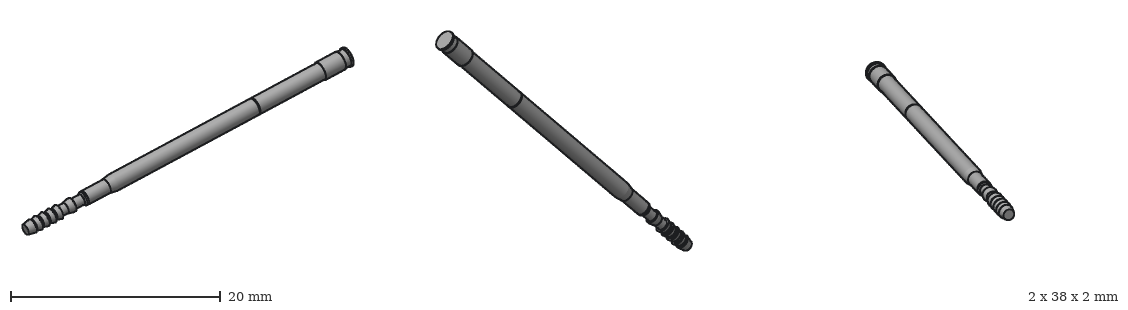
import cadquery as cq

length = 38.0
flange_front = 37.77
collar_back = 37.13
collar_front = 34.77
joint_back = 27.1
joint_front = 26.98
nose_back = 10.35
nose_front = 9.55
shank_front = 7.0
shank_land_front = 6.8
shank_chamfer_front = 6.6

flange_diameter = 2.0
collar_diameter = 1.95
tube_diameter = 1.8
joint_diameter = 1.75
nose_diameter = 1.52
shank_diameter = 1.5
shank_land_diameter = 1.45
shank_chamfer_diameter = 1.2
core_diameter = 1.1

retaining_barb_diameter = 1.45
retaining_barb_foot_diameter = 1.18
retaining_barb_back = 5.5
retaining_barb_land = 0.23
retaining_barb_length = 0.8

barb_diameter = 1.52
barb_foot_diameter = 1.2
barb_pitch = 0.8
barb_count = 4
first_barb_back = 3.9
barb_length = 0.55

tip_barb_diameter = 1.45
tip_barb_back = 0.85
tip_diameter = 1.1


def turned(profile):
    """Revolve a (diameter, station) profile around the Y axis, closing it along the axis."""
    outline = [(station, diameter / 2) for diameter, station in profile]
    closed_outline = [(outline[0][0], 0)] + outline + [(outline[-1][0], 0)]
    return cq.Workplane("YZ").polyline(closed_outline).close().revolve(360, (0, 0, 0), (1, 0, 0))


body = turned(
    [
        (flange_diameter, length),
        (flange_diameter, flange_front),
        (tube_diameter, flange_front),
        (tube_diameter, collar_back),
        (collar_diameter, collar_back),
        (collar_diameter, collar_front),
        (tube_diameter, collar_front),
        (tube_diameter, joint_back),
        (joint_diameter, joint_back),
        (joint_diameter, joint_front),
        (tube_diameter, joint_front),
        (tube_diameter, nose_back),
        (nose_diameter, nose_front),
        (shank_diameter, nose_front),
        (shank_diameter, shank_front),
        (shank_land_diameter, shank_front),
        (shank_land_diameter, shank_land_front),
        (shank_chamfer_diameter, shank_chamfer_front),
        (core_diameter, shank_chamfer_front),
        (core_diameter, 0),
    ]
)

retaining_barb = turned(
    [
        (retaining_barb_diameter, retaining_barb_back),
        (retaining_barb_diameter, retaining_barb_back - retaining_barb_land),
        (retaining_barb_foot_diameter, retaining_barb_back - retaining_barb_length),
    ]
)
result = body.union(retaining_barb)

for index in range(barb_count):
    back = first_barb_back - index * barb_pitch
    barb = turned([(barb_diameter, back), (barb_foot_diameter, back - barb_length)])
    result = result.union(barb)

tip_barb = turned([(tip_barb_diameter, tip_barb_back), (tip_diameter, 0)])
result = result.union(tip_barb)